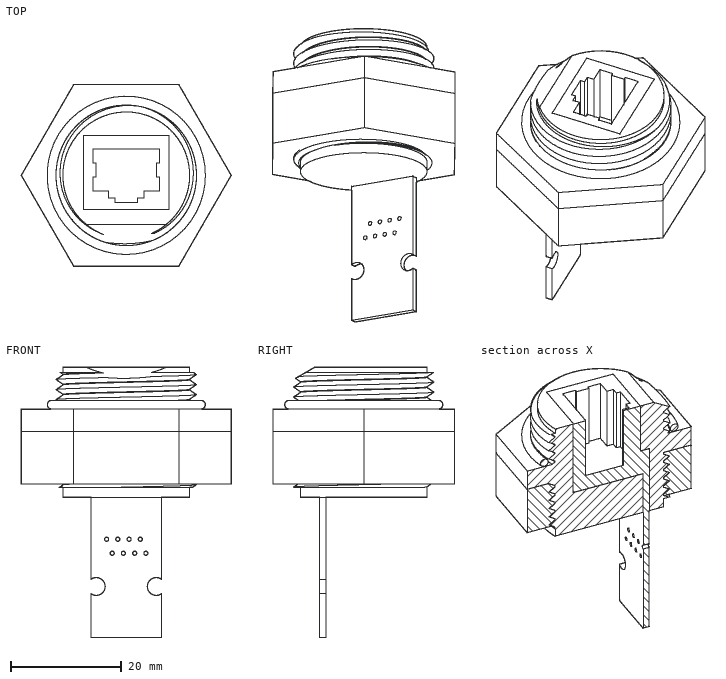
import cadquery as cq
import math


core_diameter = 23.0
housing_length = 23.6
hex_across_flats = 33.0
hex_sides = 6
hex_across_corners = hex_across_flats / math.cos(math.pi / hex_sides)
flange_top = -7.6
flange_thickness = 2.5
shoulder_thickness = 1.6
flat_start_y = -8.9
flat_slope = 30.0

crest_diameter = 25.5
thread_pitch = 1.814
thread_top = -0.95
thread_bottom = -21.8
first_crest_z = -1.8
root_flat = 0.12
spare_turns = 2
root_overlap = 0.05

nut_top = flange_top - flange_thickness - shoulder_thickness
nut_height = 9.5

ring_section = 1.6
ring_radius = (crest_diameter + ring_section) / 2

jack_width = 15.5
jack_y_max = 7.2
jack_y_min = -6.2
jack_depth = 15.0
port_depth = 12.0
port_top = 4.75
port_bottom = -2.8
port_half_width = 6.0
rib_half_width = 5.5
rib_top = 2.2
rib_bottom = -0.3
latch_half_width = 3.25
latch_bottom = -4.1
tongue_half_width = 2.0
tongue_bottom = -4.9

board_width = 12.8
board_thickness = 1.25
board_face_y = -6.8
board_top = -10.0
board_bottom = -49.02
pin_diameter = 0.7
pin_pitch = 2.04
pins_per_row = 4
pin_offset = pin_pitch / 4
pin_row_upper_z = -31.2
pin_row_spacing = 2.54
post_diameter = 3.2
post_x = 5.45
post_z = -39.77


def hex_prism(top, height):
    """Hexagon with corners on the X axis, extruded down from the given height."""
    return cq.Workplane("XY", origin=(0, 0, top)).polygon(hex_sides, hex_across_corners).extrude(-height)


def box_between(x_size, y_min, y_max, z_min, z_max):
    """Box centred on X."""
    corner = (-x_size / 2, y_min, z_min)
    return cq.Workplane("XY").box(x_size, y_max - y_min, z_max - z_min, centered=False).translate(corner)


def make_thread():
    """Triangular ridge swept along the helix and trimmed flat at both ends."""
    core_radius = core_diameter / 2
    crest_radius = crest_diameter / 2
    root_radius = core_radius - root_overlap
    flank_slope = (thread_pitch - root_flat) / 2 / (crest_radius - core_radius)
    half_base = flank_slope * (crest_radius - root_radius)
    turns = math.ceil((thread_top - thread_bottom) / thread_pitch) + spare_turns
    start_z = first_crest_z + thread_pitch / 4 - (turns - 1) * thread_pitch
    helix = cq.Wire.makeHelix(thread_pitch, turns * thread_pitch, core_radius)
    ridge = (
        cq.Workplane("XZ")
        .polyline([(root_radius, -half_base), (crest_radius, 0), (root_radius, half_base)])
        .close()
        .sweep(cq.Workplane(obj=helix), isFrenet=True)
        .translate((0, 0, start_z))
    )
    trim = cq.Workplane("XY", origin=(0, 0, thread_bottom)).circle(crest_diameter)
    return ridge.intersect(trim.extrude(thread_top - thread_bottom), clean=False)


def make_threaded_body():
    """Threaded tube with a hexagon flange and a sloped flat at the front, still solid inside."""
    core = cq.Workplane("XY").circle(core_diameter / 2).extrude(-housing_length)
    body = core.union(make_thread(), clean=False)

    flat_run = crest_diameter / 2
    flat_drop = flat_run * math.tan(math.radians(flat_slope))
    wedge = (
        cq.Workplane("YZ")
        .moveTo(flat_start_y, 0)
        .lineTo(flat_start_y - flat_run, 0)
        .lineTo(flat_start_y - flat_run, -flat_drop)
        .close()
        .extrude(crest_diameter / 2, both=True)
    )
    body = body.cut(wedge, clean=False)

    body = body.union(hex_prism(flange_top, flange_thickness), clean=False)
    shoulder_top = flange_top - flange_thickness
    return body.union(hex_prism(shoulder_top, shoulder_thickness), clean=False)


def make_housing(threaded_body, insert):
    """Threaded body hollowed to fit closely around the jack and its board."""
    return threaded_body.cut(insert, clean=False)


def make_nut(threaded_body):
    """Hexagon nut whose bore carries the matching thread."""
    return hex_prism(nut_top, nut_height).cut(threaded_body, clean=False)


def make_sealing_ring():
    """Round-section ring resting on the flange."""
    center = cq.Vector(0, 0, flange_top + ring_section / 2)
    return cq.Workplane(obj=cq.Solid.makeTorus(ring_radius, ring_section / 2, center))


def make_port():
    """Stepped plug opening: main bay with two side ribs, latch recess and tongue recess."""
    right_half = [
        (port_half_width, port_top),
        (port_half_width, rib_top),
        (rib_half_width, rib_top),
        (rib_half_width, rib_bottom),
        (port_half_width, rib_bottom),
        (port_half_width, port_bottom),
        (latch_half_width, port_bottom),
        (latch_half_width, latch_bottom),
        (tongue_half_width, latch_bottom),
        (tongue_half_width, tongue_bottom),
    ]
    left_half = [(-x, y) for x, y in reversed(right_half)]
    return cq.Workplane("XY").polyline(right_half + left_half).close().extrude(-port_depth)


def make_board():
    """Circuit board with two staggered rows of pin holes and a post notch in each long edge."""
    board = box_between(board_width, board_face_y - board_thickness, board_face_y, board_bottom, board_top)
    holes_plane = cq.Workplane("XZ", origin=(0, board_face_y, 0))
    first_x = -(pins_per_row - 1) * pin_pitch / 2
    for row, shift in enumerate((-pin_offset, pin_offset)):
        row_z = pin_row_upper_z - row * pin_row_spacing
        pins = [(first_x + shift + i * pin_pitch, row_z) for i in range(pins_per_row)]
        board = board.cut(holes_plane.pushPoints(pins).circle(pin_diameter / 2).extrude(board_thickness))
    posts = holes_plane.pushPoints([(-post_x, post_z), (post_x, post_z)])
    return board.cut(posts.circle(post_diameter / 2).extrude(board_thickness))


def make_jack_block():
    """Jack body with a foot at its rear that stands on the circuit board."""
    block = box_between(jack_width, jack_y_min, jack_y_max, -jack_depth, 0)
    foot = box_between(board_width, board_face_y, jack_y_min, -jack_depth, board_top)
    return block.union(foot)


insert = make_jack_block().union(make_board())
threaded_body = make_threaded_body()

housing = make_housing(threaded_body, insert)
nut = make_nut(threaded_body)
sealing_ring = make_sealing_ring()
jack = insert.cut(make_port())

bodies = [housing, nut, sealing_ring, jack]
result = cq.Compound.makeCompound([body.solids().val() for body in bodies])